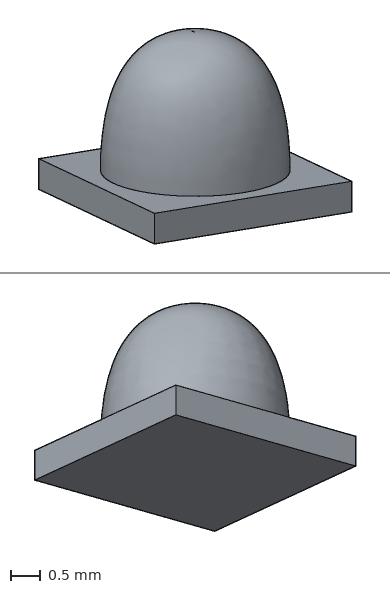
import cadquery as cq

base_side = 3.85
base_height = 0.54

overall_height = 2.95
dome_radius = 1.598
side_pull = 1.58
crown_pull = 1.05


def make_base():
    return cq.Workplane("XY").box(base_side, base_side, base_height, centered=(True, True, False))


def make_dome():
    """Revolve a Bezier profile, upright at its foot and level at its apex."""
    profile = (
        cq.Workplane("XZ")
        .moveTo(0, base_height)
        .lineTo(dome_radius, base_height)
        .bezier(
            [
                (dome_radius, base_height),
                (dome_radius, base_height + side_pull),
                (crown_pull, overall_height),
                (0, overall_height),
            ]
        )
        .close()
    )
    return profile.revolve(360, (0, 0), (0, 1))


result = make_base().union(make_dome())